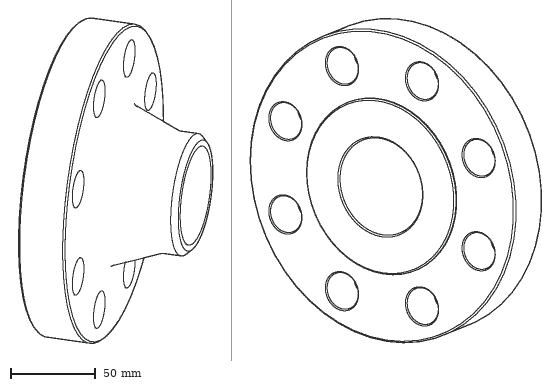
import cadquery as cq
import math

total_length = 81.0
flange_diameter = 190.0
flange_front = 1.7
flange_back = 30.5
flange_chamfer = 1.1

raised_face_diameter = 106.8
raised_face_chamfer = 1.0

bore_diameter = 58.9
bore_chamfer = 1.0

hub_base_diameter = 99.5
neck_diameter = 73.0
neck_start = 65.0
hub_blend_radius = 7.6
weld_bevel_length = 3.6
weld_end_diameter = 66.1

bolt_count = 8
bolt_circle_diameter = 149.3
bolt_hole_diameter = 22.2
bolt_hole_chamfer = 0.8

flange_radius = flange_diameter / 2
face_radius = raised_face_diameter / 2
bore_radius = bore_diameter / 2
hub_base_radius = hub_base_diameter / 2
neck_radius = neck_diameter / 2
bolt_radius = bolt_hole_diameter / 2

cone_angle = math.atan2(hub_base_radius - neck_radius, neck_start - flange_back)
cone_cos = math.cos(cone_angle)
cone_sin = math.sin(cone_angle)


def arc_point(center, angle):
    """Point on a hub blend arc at an angle from the X axis."""
    return (
        center[0] + hub_blend_radius * math.cos(angle),
        center[1] + hub_blend_radius * math.sin(angle),
    )


def flange_body():
    """Revolve the flange, raised face, tapered hub and neck around X."""
    base_tangent = hub_blend_radius * math.tan((math.pi / 2 - cone_angle) / 2)
    base_center = (flange_back + hub_blend_radius, hub_base_radius + base_tangent)
    base_end_angle = -math.pi / 2 - cone_angle
    base_mid_angle = (-math.pi + base_end_angle) / 2

    neck_tangent = hub_blend_radius * math.tan(cone_angle / 2)
    neck_center = (neck_start + neck_tangent, neck_radius + hub_blend_radius)

    profile = (
        cq.Workplane("XY")
        .moveTo(0, bore_radius + bore_chamfer)
        .lineTo(0, face_radius - raised_face_chamfer)
        .lineTo(raised_face_chamfer, face_radius)
        .lineTo(flange_front, face_radius)
        .lineTo(flange_front, flange_radius - flange_chamfer)
        .lineTo(flange_front + flange_chamfer, flange_radius)
        .lineTo(flange_back - flange_chamfer, flange_radius)
        .lineTo(flange_back, flange_radius - flange_chamfer)
        .lineTo(*arc_point(base_center, -math.pi))
        .threePointArc(arc_point(base_center, base_mid_angle), arc_point(base_center, base_end_angle))
        .lineTo(neck_start - neck_tangent * cone_cos, neck_radius + neck_tangent * cone_sin)
        .threePointArc(
            arc_point(neck_center, -math.pi / 2 - cone_angle / 2),
            arc_point(neck_center, -math.pi / 2),
        )
        .lineTo(total_length - weld_bevel_length, neck_radius)
        .lineTo(total_length, weld_end_diameter / 2)
        .lineTo(total_length, bore_radius)
        .lineTo(bore_chamfer, bore_radius)
        .close()
    )
    return profile.revolve(360, (0, 0, 0), (1, 0, 0))


def bolt_hole_cutters():
    """Through holes, chamfered on the front, straddling the vertical centre line."""
    first_angle = 180 / bolt_count
    front_plane = cq.Workplane("YZ", origin=(flange_front, 0, 0)).polarArray(
        bolt_circle_diameter / 2, first_angle, 360, bolt_count
    )
    half_profile = (
        cq.Workplane("XY")
        .moveTo(0, 0)
        .lineTo(bolt_radius + bolt_hole_chamfer, 0)
        .lineTo(bolt_radius, bolt_hole_chamfer)
        .lineTo(bolt_radius, flange_back - flange_front)
        .lineTo(0, flange_back - flange_front)
        .close()
    )
    cutter = half_profile.revolve(360, (0, 0, 0), (0, 1, 0)).rotate((0, 0, 0), (1, 0, 0), 90)
    return front_plane.eachpoint(cutter.val(), useLocalCoordinates=True)


result = flange_body().cut(bolt_hole_cutters())